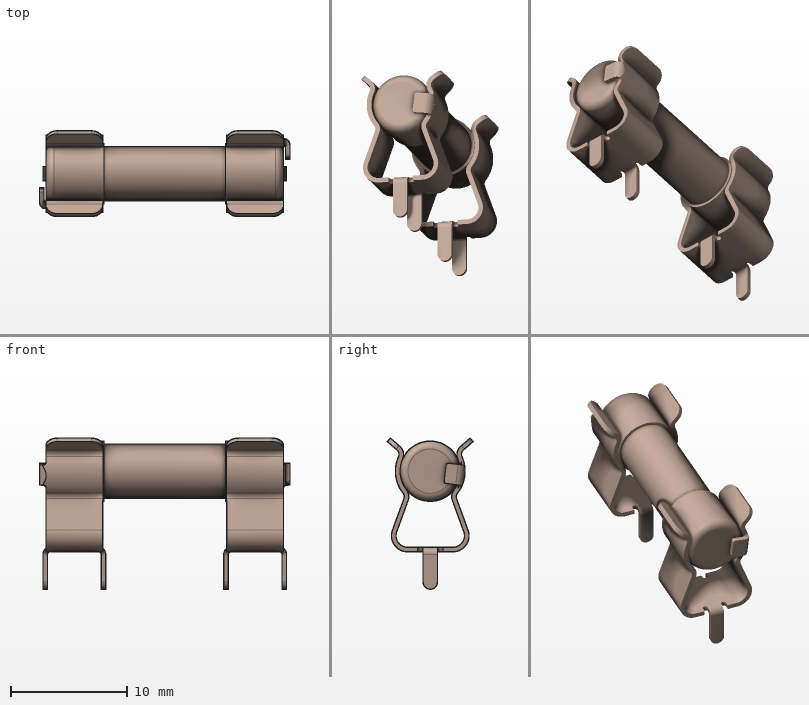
import cadquery as cq
import math

fuse_length = 20.48
tube_diameter = 4.7
cap_diameter = 5.2
cap_length = 5.01
cap_edge_radius = 0.7

sheet = 0.4
clip_width = 4.9
clip_spread = 7.4
floor_depth = 6.95
floor_bend_inner_radius = 1.0
waist_bend_radius = 0.5
lip_bend_radius = 0.5
lip_corner_radius = 1.0
wall_lean = 20
grip_start_angle = -38.6
grip_end_angle = 24.4
lip_rise_angle = 41

leg_width = 1.25
leg_length = 3.22
leg_overhang = 0.25
leg_bend_radius = 0.2
notch_width = 0.45
notch_depth = 0.6

tab_width = 1.75
tab_overhang = 0.56
tab_tip_radius = 1.3
tab_bend_outer_radius = 0.7
tab_corner_radius = 0.2
tab_root_radius = 0.25

cap_radius = cap_diameter / 2
cap_wall = (cap_diameter - tube_diameter) / 2
end_x = fuse_length / 2
clip_center_x = clip_width / 2 - end_x
grip_mid_radius = cap_radius + sheet / 2
grip_outer_radius = cap_radius + sheet
join_tolerance = sheet / 100


def polar(center, radius, angle):
    """Point at an angle in degrees on a circle around center."""
    turn = math.radians(angle)
    return (center[0] + radius * math.cos(turn), center[1] + radius * math.sin(turn))



def make_tube():
    """Rod that fills both caps up to their end walls."""
    length = fuse_length - 2 * cap_wall
    rod = cq.Workplane("YZ", origin=(-length / 2, 0, 0)).circle(tube_diameter / 2).extrude(length)
    return rod.edges("%CIRCLE").fillet(cap_edge_radius - cap_wall)


def make_cap(tube):
    """Cap on the -X end, with a rounded end edge and a recess that fits the tube."""
    cap = cq.Workplane("YZ", origin=(-end_x, 0, 0)).circle(cap_radius).extrude(cap_length)
    return cap.faces("<X").edges().fillet(cap_edge_radius).cut(tube)



waist_center = polar((0, 0), grip_outer_radius + waist_bend_radius, grip_start_angle)
lip_center = polar((0, 0), grip_outer_radius + lip_bend_radius, grip_end_angle)
floor_bend_mid_radius = floor_bend_inner_radius + sheet / 2
waist_mid_radius = waist_bend_radius + sheet / 2
lip_mid_radius = lip_bend_radius + sheet / 2

lean = math.radians(wall_lean)
floor_bend_z = floor_bend_inner_radius + sheet - floor_depth
wall_distance = waist_center[0] * math.cos(lean) + waist_center[1] * math.sin(lean) - waist_mid_radius
floor_bend_y = (wall_distance - floor_bend_mid_radius - floor_bend_z * math.sin(lean)) / math.cos(lean)

lip_outer_end = polar(lip_center, lip_bend_radius, lip_rise_angle + 90)
lip_length = (clip_spread / 2 - lip_outer_end[0]) / math.cos(math.radians(lip_rise_angle))


def sheet_arcs(offset):
    """Start, middle and end of each bend, on the surface offset outwards from mid-sheet."""
    bends = [
        ((floor_bend_y, floor_bend_z), floor_bend_mid_radius + offset, -90, wall_lean),
        (waist_center, waist_mid_radius - offset, 180 + wall_lean, 180 + grip_start_angle),
        ((0, 0), grip_mid_radius + offset, grip_start_angle, grip_end_angle),
        (lip_center, lip_mid_radius - offset, 180 + grip_end_angle, 90 + lip_rise_angle),
    ]
    return [
        [polar(center, radius, angle) for angle in (start, (start + end) / 2, end)]
        for center, radius, start, end in bends
    ]


def draw_arcs(outline, arcs):
    """Continue an outline through the arcs, joined by straight lines where they do not meet."""
    for start, middle, end in arcs:
        if math.dist(outline.val().endPoint().toTuple()[1:], start) > join_tolerance:
            outline = outline.lineTo(*start)
        outline = outline.threePointArc(middle, end)
    return outline


def make_clip_half():
    """The +Y half of the bent strip, with rounded corners at the lip tip."""
    inner = sheet_arcs(-sheet / 2)
    outer = sheet_arcs(sheet / 2)
    outer_reversed = [arc[::-1] for arc in reversed(outer)]
    inner_floor = (0, sheet - floor_depth)
    outer_floor = (0, -floor_depth)

    outline = cq.Workplane("YZ", origin=(-end_x, 0, 0)).moveTo(*inner_floor).lineTo(*inner[0][0])
    outline = draw_arcs(outline, inner)
    outline = outline.lineTo(*polar(inner[-1][-1], lip_length, lip_rise_angle))
    outline = outline.lineTo(*polar(outer[-1][-1], lip_length, lip_rise_angle))
    outline = draw_arcs(outline, outer_reversed)
    half = outline.lineTo(*outer_floor).close().extrude(clip_width)

    across_lip = cq.Vector(0, *polar((0, 0), 1, lip_rise_angle + 90))
    tip_edges = half.edges(cq.selectors.ParallelDirSelector(across_lip))
    return tip_edges.fillet(lip_corner_radius)


def make_leg_opening():
    """Space cleared in the floor at the -X edge: two round-ended notches and the leg's bend."""
    bend_x = leg_bend_radius + sheet - leg_overhang - end_x
    opening = (
        cq.Workplane("XY", origin=(0, 0, -floor_depth))
        .rect(2 * (bend_x + end_x), leg_width)
        .extrude(sheet)
        .translate((-end_x, 0, 0))
    )
    for side in (-1, 1):
        notch = (
            cq.Workplane("XY", origin=(-end_x, side * (leg_width + notch_width) / 2, -floor_depth))
            .slot2D(2 * notch_depth, notch_width)
            .extrude(sheet)
        )
        opening = opening.union(notch)
    return opening


def make_leg():
    """Leg at the -X edge: a quarter bend down from the floor and a straight leg with a round tip."""
    outer_x = -end_x - leg_overhang
    inner_x = outer_x + sheet
    outer_radius = leg_bend_radius + sheet
    center = (inner_x + leg_bend_radius, -floor_depth - leg_bend_radius)
    tip_z = -floor_depth - leg_length
    leg = (
        cq.Workplane("XZ", origin=(0, leg_width / 2, 0))
        .moveTo(center[0], -floor_depth)
        .threePointArc(polar(center, leg_bend_radius, 135), (inner_x, center[1]))
        .lineTo(inner_x, tip_z)
        .lineTo(outer_x, tip_z)
        .lineTo(outer_x, center[1])
        .threePointArc(polar(center, outer_radius, 135), (center[0], sheet - floor_depth))
        .close()
        .extrude(leg_width)
    )
    round_tip = (
        cq.Workplane("YZ", origin=(outer_x, 0, tip_z + leg_width / 2))
        .circle(leg_width / 2)
        .extrude(sheet)
    )
    square_tip = cq.Workplane("XY", origin=(outer_x, 0, tip_z)).box(
        2 * sheet, leg_width, leg_width / 2, centered=(True, True, False)
    )
    return leg.cut(square_tip).union(round_tip)


def make_tab():
    """Tab at the middle of the -Y grip, made pointing along +Y and then turned into place."""
    outer_x = -end_x - tab_overhang
    inner_x = outer_x + sheet
    bend_center = (outer_x + tab_bend_outer_radius, grip_outer_radius - tab_bend_outer_radius)
    bend_inner_radius = tab_bend_outer_radius - sheet
    root_x = -end_x - tab_root_radius
    root_half_width = tab_width / 2 + tab_root_radius

    bent_sheet = (
        cq.Workplane("XY", origin=(0, 0, -root_half_width))
        .moveTo(outer_x, tab_tip_radius)
        .lineTo(outer_x, bend_center[1])
        .threePointArc(
            polar(bend_center, tab_bend_outer_radius, 135),
            polar(bend_center, tab_bend_outer_radius, 90),
        )
        .lineTo(*polar(bend_center, bend_inner_radius, 90))
        .threePointArc(polar(bend_center, bend_inner_radius, 135), (inner_x, bend_center[1]))
        .lineTo(inner_x, tab_tip_radius)
        .close()
        .extrude(2 * root_half_width)
    )

    plan = (
        cq.Workplane("XZ")
        .moveTo(outer_x, -tab_width / 2)
        .lineTo(outer_x, tab_width / 2)
        .lineTo(root_x, tab_width / 2)
        .threePointArc(polar((root_x, root_half_width), tab_root_radius, -45), (-end_x, root_half_width))
        .lineTo(-end_x, -root_half_width)
        .threePointArc(polar((root_x, -root_half_width), tab_root_radius, 45), (root_x, -tab_width / 2))
        .close()
        .extrude(-grip_outer_radius)
    )
    tip_length = bend_center[1] - tab_tip_radius
    face = (
        cq.Workplane("XY", origin=(outer_x, tab_tip_radius, 0))
        .box(sheet, tip_length, tab_width, centered=(False, False, True))
        .edges("|X and <Y")
        .fillet(tab_corner_radius)
    )
    root = cq.Workplane("XY", origin=(outer_x, bend_center[1], 0)).box(
        tab_overhang, tab_bend_outer_radius, 2 * root_half_width, centered=(False, False, True)
    )
    tab = bent_sheet.intersect(plan).intersect(face.union(root))
    grip_envelope = (
        cq.Workplane("YZ", origin=(outer_x, 0, 0)).circle(grip_outer_radius).extrude(tab_overhang)
    )
    tab = tab.intersect(grip_envelope)

    mid_grip_angle = (grip_start_angle + grip_end_angle) / 2
    turn = 180 - mid_grip_angle
    return tab.rotate((0, 0, 0), (1, 0, 0), turn)


def make_clip():
    """Complete clip on the -X end."""
    half = make_clip_half()
    clip = half.union(half.mirror("XZ"))
    opening = make_leg_opening()
    leg = make_leg()
    mid_clip = (clip_center_x, 0, 0)
    clip = clip.cut(opening).cut(opening.mirror("YZ", mid_clip))
    clip = clip.union(leg).union(leg.mirror("YZ", mid_clip))
    return clip.union(make_tab())



tube = make_tube()
cap = make_cap(tube)
clip = make_clip()

bodies = [tube.val()]
for half_turn in (0, 180):
    for end_part in (cap, clip):
        bodies.append(end_part.rotate((0, 0, 0), (0, 0, 1), half_turn).val())

result = cq.Compound.makeCompound(bodies)